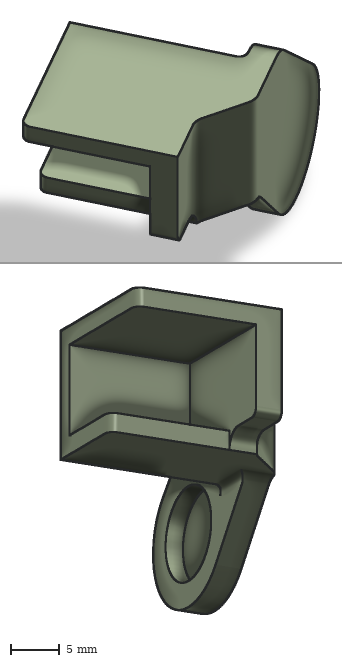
import cadquery as cq
import math

total_width = 22.0
total_depth = 32.98
total_height = 24.9
housing_width = 17.0
housing_depth = 17.0
housing_height = 14.0

side_wall = 3.0
rear_wall = 2.0
plate_thickness = 2.08

flare_start_y = 6.0
flare_end_y = flare_start_y + total_width - housing_width
flare_radius = 2.0

lip_front_y = 6.0
step_radius = 2.0
corner_radius = 1.0

arm_thickness = 3.0
arm_inner_x = total_width - arm_thickness
arm_end_radius = 7.98
arm_end_y = total_depth - arm_end_radius
arm_end_z = housing_height + arm_end_radius - total_height
arm_top_radius = 3.83
arm_top_y = 17.95
arm_top_z = housing_height - arm_top_radius
arm_root_y = 12.1
arm_root_radius = 1.8
recess_diameter = 10.3
recess_depth = 2.0

overcut = 0.33


def polar_point(center, radius, angle):
    return center[0] + radius * math.cos(angle), center[1] + radius * math.sin(angle)


def make_housing():
    body = (
        cq.Workplane("XY")
        .polyline([
            (0, 0),
            (housing_width, 0),
            (housing_width, flare_start_y),
            (total_width, flare_end_y),
            (total_width, housing_depth),
            (0, housing_depth),
        ])
        .close()
        .extrude(housing_height)
    )
    for corner in ((housing_width, flare_start_y), (total_width, flare_end_y)):
        corner_edge = cq.selectors.NearestToPointSelector((*corner, housing_height / 2))
        body = body.edges(corner_edge).fillet(flare_radius)
    return body.edges("|Z and <X and <Y").fillet(corner_radius)


def make_arm():
    top_center = (arm_top_y, arm_top_z)
    end_center = (arm_end_y, arm_end_z)

    dy = arm_top_y - arm_end_y
    dz = arm_top_z - arm_end_z
    upper = math.atan2(dz, dy) - math.acos((arm_end_radius - arm_top_radius) / math.hypot(dy, dz))

    root_dy = arm_root_y - arm_end_y
    root_dz = -arm_end_z
    root_distance = math.hypot(root_dy, root_dz)
    lower = math.atan2(root_dz, root_dy) + math.acos(arm_end_radius / root_distance)

    end_tip = polar_point(end_center, arm_end_radius, (upper + lower - 2 * math.pi) / 2)
    return (
        cq.Workplane("YZ", origin=(arm_inner_x, 0, 0))
        .moveTo(arm_root_y, 0)
        .lineTo(arm_root_y, housing_height)
        .lineTo(arm_top_y, housing_height)
        .threePointArc(
            polar_point(top_center, arm_top_radius, (upper + math.pi / 2) / 2),
            polar_point(top_center, arm_top_radius, upper),
        )
        .lineTo(*polar_point(end_center, arm_end_radius, upper))
        .threePointArc(end_tip, polar_point(end_center, arm_end_radius, lower))
        .close()
        .extrude(arm_thickness)
    )


def blend_arm(body):
    root_edge = cq.selectors.NearestToPointSelector((total_width - arm_thickness / 2, arm_root_y, 0))
    body = body.edges(root_edge).fillet(arm_root_radius)
    rear_edge = cq.selectors.NearestToPointSelector((arm_inner_x, housing_depth, housing_height / 2))
    floor_edge = cq.selectors.NearestToPointSelector((arm_inner_x, (arm_root_y + housing_depth) / 2, 0))
    return body.edges(rear_edge + floor_edge).fillet(corner_radius)


def make_pocket():
    return cq.Workplane("XY").box(
        housing_width - side_wall + overcut,
        housing_depth - rear_wall + overcut,
        housing_height - 2 * plate_thickness,
        centered=False,
    ).translate((-overcut, -overcut, plate_thickness))


def make_lower_plate_relief():
    """Space ahead of the lower plate, which has a rounded left front corner."""
    bend = corner_radius * (1 - math.sqrt(0.5))
    return (
        cq.Workplane("XY", origin=(0, 0, -overcut))
        .moveTo(-overcut, -overcut)
        .lineTo(housing_width - side_wall, -overcut)
        .lineTo(housing_width - side_wall, lip_front_y)
        .lineTo(corner_radius, lip_front_y)
        .threePointArc((bend, lip_front_y + bend), (0, lip_front_y + corner_radius))
        .lineTo(-overcut, lip_front_y + corner_radius)
        .close()
        .extrude(plate_thickness + overcut)
    )


def make_step():
    """Space under the side wall, with a concave rear end and a rounded front corner."""
    arc_start_y = lip_front_y - step_radius
    diagonal = math.sqrt(0.5)
    return (
        cq.Workplane("YZ")
        .moveTo(0, -overcut)
        .lineTo(0, plate_thickness + corner_radius)
        .threePointArc(
            (corner_radius * (1 - diagonal), plate_thickness + corner_radius * (1 - diagonal)),
            (corner_radius, plate_thickness),
        )
        .lineTo(arc_start_y, plate_thickness)
        .threePointArc(
            (arc_start_y + step_radius * diagonal, plate_thickness - step_radius * (1 - diagonal)),
            (lip_front_y, plate_thickness - step_radius),
        )
        .lineTo(lip_front_y, -overcut)
        .close()
        .extrude(total_width)
    )


def make_recess():
    return (
        cq.Workplane("YZ", origin=(arm_inner_x, 0, 0))
        .center(arm_end_y, arm_end_z)
        .circle(recess_diameter / 2)
        .extrude(recess_depth)
    )


result = blend_arm(make_housing().union(make_arm()))
result = result.cut(make_pocket()).cut(make_lower_plate_relief()).cut(make_step()).cut(make_recess())